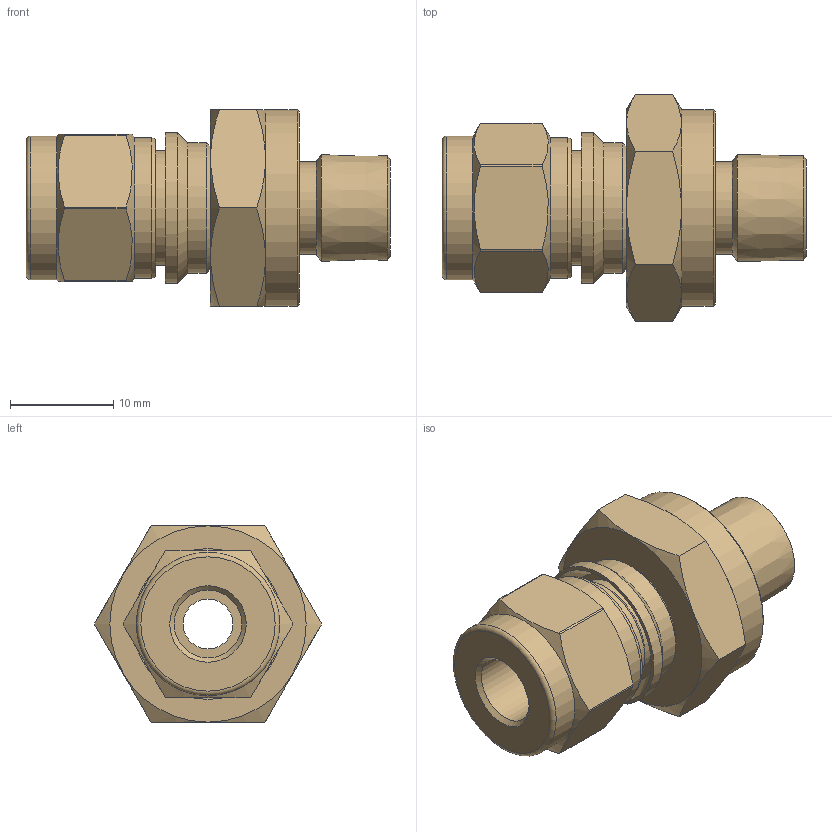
import cadquery as cq
import math

total_length = 35.24

nut_nose_diameter = 13.9
nut_nose_fillet = 0.45
nut_hex_start = 3.0
nut_hex_end = 10.5
nut_hex_across_flats = 14.29
nut_hex_corner_diameter = 16.4
nut_collar_diameter = 13.6
nut_collar_end = 12.53
nut_collar_chamfer_length = 0.35
nut_collar_chamfer_height = 0.13

neck_diameter = 11.11
neck_end = 13.95
undercut_diameter = 10.1
undercut_start = neck_end + (neck_diameter - undercut_diameter) / 2
flange_diameter = 14.6
flange_start = 13.47
flange_rim_end = 14.65
flange_recess_diameter = 13.9
flange_recess_floor_diameter = 11.5
flange_recess_end = 15.4
shoulder_diameter = 12.6
shoulder_start = flange_rim_end + (flange_diameter - shoulder_diameter) / 2
shoulder_chamfer = 0.4
body_hex_start = 17.85
body_hex_end = 23.2
body_hex_across_flats = 19.05
seat_diameter = 19.0
seat_end = 26.45
seat_chamfer = 0.2

relief_diameter = 8.92
relief_end = 28.1
taper_start_diameter = 10.35
taper_start = 28.6
taper_end_diameter = 10.1
end_face_diameter = 9.4
end_chamfer = 0.25

through_diameter = 4.83
tube_socket_diameter = 6.55
tube_socket_depth = 15.2
tube_socket_mouth_diameter = 7.4
tube_socket_mouth_depth = (tube_socket_mouth_diameter - tube_socket_diameter) / 2

hex_chamfer_slope = math.tan(math.radians(30))


def revolve_outline(stations):
    """Solid turned about X from (x, diameter) stations, closed along the axis."""
    outline = [(x, diameter / 2) for x, diameter in stations]
    first_x = stations[0][0]
    last_x = stations[-1][0]
    points = [(first_x, 0)] + outline + [(last_x, 0)]
    return cq.Workplane("XY").polyline(points).close().revolve(360, (0, 0, 0), (1, 0, 0))


def across_corners(across_flats):
    return across_flats / math.cos(math.radians(30))


def chamfered_hex(start, end, across_flats, corner_diameter, start_face_diameter, end_face_diameter):
    """Hexagon along X with flats on top and bottom, trimmed by a double-coned blank."""
    prism = (
        cq.Workplane("YZ")
        .workplane(offset=start)
        .polygon(6, across_corners(across_flats))
        .extrude(end - start)
    )
    start_cone = (corner_diameter - start_face_diameter) / 2 * hex_chamfer_slope
    end_cone = (corner_diameter - end_face_diameter) / 2 * hex_chamfer_slope
    blank = revolve_outline([
        (start, start_face_diameter),
        (start + start_cone, corner_diameter),
        (end - end_cone, corner_diameter),
        (end, end_face_diameter),
    ])
    return prism.intersect(blank)


def make_nut():
    nose = revolve_outline([(0, nut_nose_diameter), (nut_hex_start, nut_nose_diameter)])
    nose = nose.faces("<X").edges().fillet(nut_nose_fillet)
    hexagon = chamfered_hex(
        nut_hex_start,
        nut_hex_end,
        nut_hex_across_flats,
        nut_hex_corner_diameter,
        nut_nose_diameter,
        nut_collar_diameter,
    )
    collar = revolve_outline([
        (nut_hex_end, nut_collar_diameter),
        (nut_collar_end - nut_collar_chamfer_length, nut_collar_diameter),
        (nut_collar_end, nut_collar_diameter - 2 * nut_collar_chamfer_height),
    ])
    return nose.union(hexagon).union(collar)


def make_body():
    barrel = revolve_outline([
        (nut_collar_end, neck_diameter),
        (neck_end, neck_diameter),
        (undercut_start, undercut_diameter),
        (flange_recess_end, undercut_diameter),
        (flange_recess_end, flange_recess_floor_diameter),
        (flange_start, flange_recess_diameter),
        (flange_start, flange_diameter),
        (flange_rim_end, flange_diameter),
        (shoulder_start, shoulder_diameter),
        (body_hex_start - shoulder_chamfer, shoulder_diameter),
        (body_hex_start, shoulder_diameter - 2 * shoulder_chamfer),
    ])
    hexagon = chamfered_hex(
        body_hex_start,
        body_hex_end,
        body_hex_across_flats,
        across_corners(body_hex_across_flats),
        seat_diameter,
        seat_diameter,
    )
    seat = revolve_outline([
        (body_hex_end, seat_diameter),
        (seat_end - seat_chamfer, seat_diameter),
        (seat_end, seat_diameter - 2 * seat_chamfer),
    ])
    return barrel.union(hexagon).union(seat)


def make_tapered_end():
    taper_end = total_length - end_chamfer
    return revolve_outline([
        (seat_end, relief_diameter),
        (relief_end, relief_diameter),
        (taper_start, taper_start_diameter),
        (taper_end, taper_end_diameter),
        (total_length, end_face_diameter),
    ])


def make_bore():
    socket = revolve_outline([
        (0, tube_socket_mouth_diameter),
        (tube_socket_mouth_depth, tube_socket_diameter),
        (tube_socket_depth, tube_socket_diameter),
    ])
    passage = revolve_outline([(0, through_diameter), (total_length, through_diameter)])
    return socket.union(passage)


result = make_nut().union(make_body()).union(make_tapered_end()).cut(make_bore())